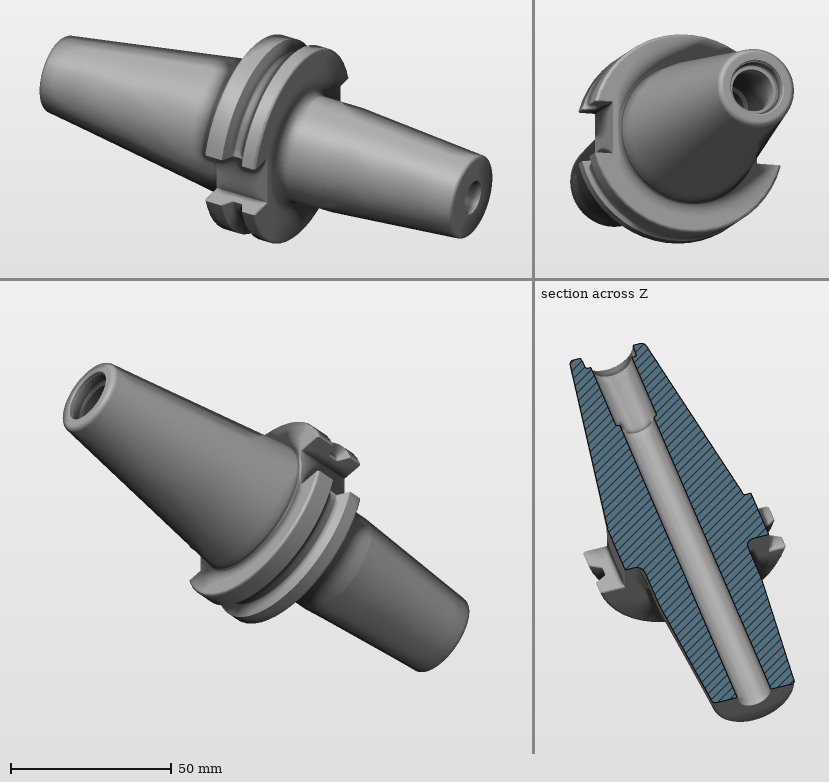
import cadquery as cq
import math

length = 148.2
gauge_x = 67.9
flange_start = 69.4
flange_end = 87.5

gauge_radius = 44.5 / 2
taper_slope = 7 / 48
tail_radius = gauge_radius - taper_slope * gauge_x
tail_round = 1.8
root_flare = 0.5

flange_radius = 63.3 / 2
flange_edge = 0.9
groove_radius = 28.0
groove_round = 0.5
groove_floor_start = 77.7
groove_floor_end = 80.6
groove_wall_run = (flange_radius - groove_radius) * math.tan(math.radians(30))

slot_width = 16.3
slot_edge = 0.3
slot_floor_plus_y = 24.8
slot_floor_minus_y = 22.5

neck_radius = 34.0 / 2
neck_round = 2.8
nose_taper_start = 103.6
nose_radius = 13.5
nose_edge = 1.2

bore_radius = 11.0 / 2
thread_radius = 13.3 / 2
thread_depth = 29.6
seat_radius = 15.9 / 2
counterbore_radius = 16.8 / 2
counterbore_depth = 4.6
entry_radius = 17.0 / 2
entry_depth = 1.2
entry_chamfer = 0.3
drill_point_length = (thread_radius - bore_radius) / math.tan(math.radians(59))


def revolve_about_x(profile):
    """Turn a closed profile drawn in (x, radius) about the X axis."""
    return profile.close().revolve(360, (0, 0, 0), (1, 0, 0))


def make_taper():
    taper = revolve_about_x(
        cq.Workplane("XY")
        .lineTo(0, tail_radius)
        .lineTo(gauge_x, gauge_radius)
        .lineTo(flange_start - root_flare, gauge_radius)
        .lineTo(flange_start, gauge_radius + root_flare)
        .lineTo(flange_start, 0)
    )
    return taper.faces("<X").edges().fillet(tail_round)


def make_flange():
    flange = revolve_about_x(
        cq.Workplane("XY")
        .moveTo(flange_start, 0)
        .lineTo(flange_start, flange_radius - flange_edge)
        .radiusArc((flange_start + flange_edge, flange_radius), flange_edge)
        .lineTo(groove_floor_start - groove_wall_run, flange_radius)
        .lineTo(groove_floor_start, groove_radius)
        .lineTo(groove_floor_end, groove_radius)
        .lineTo(groove_floor_end + groove_wall_run, flange_radius)
        .lineTo(flange_end - flange_edge, flange_radius)
        .radiusArc((flange_end, flange_radius - flange_edge), flange_edge)
        .lineTo(flange_end, 0)
    )
    groove_corners = cq.selectors.BoxSelector(
        (groove_floor_start - groove_round, -groove_radius, -groove_radius),
        (groove_floor_end + groove_round, groove_radius, groove_radius),
    )
    flange = flange.edges(groove_corners).edges("%CIRCLE").fillet(groove_round)
    for side, floor in ((1, slot_floor_plus_y), (-1, slot_floor_minus_y)):
        flange = cut_slot(flange, side, floor)
    return flange


def cut_slot(flange, side, floor):
    """Cut one drive slot and break the outer edges of both of its walls."""
    flange_middle = (flange_start + flange_end) / 2
    slot = cq.Workplane("XY").box(length, flange_radius, slot_width)
    flange = flange.cut(slot.translate((flange_middle, side * (floor + flange_radius / 2), 0)))
    for wall_z in (slot_width / 2, -slot_width / 2):
        wall_edges = cq.selectors.BoxSelector(
            (flange_start - slot_edge, side * (floor + slot_edge), wall_z - slot_edge),
            (flange_end + slot_edge, side * flange_radius, wall_z + slot_edge),
        )
        flange = flange.edges(wall_edges).chamfer(slot_edge)
    return flange


def make_nose():
    return revolve_about_x(
        cq.Workplane("XY")
        .moveTo(flange_end, 0)
        .lineTo(flange_end, neck_radius + neck_round)
        .radiusArc((flange_end + neck_round, neck_radius), -neck_round)
        .lineTo(nose_taper_start, neck_radius)
        .lineTo(length, nose_radius)
        .lineTo(length, 0)
    ).faces(">X").edges().fillet(nose_edge)


def make_bore():
    seat_chamfer = counterbore_radius - seat_radius
    return revolve_about_x(
        cq.Workplane("XY")
        .lineTo(0, entry_radius + entry_chamfer)
        .lineTo(entry_chamfer, entry_radius)
        .lineTo(entry_depth, entry_radius)
        .lineTo(entry_depth, counterbore_radius)
        .lineTo(counterbore_depth - seat_chamfer, counterbore_radius)
        .lineTo(counterbore_depth, seat_radius)
        .lineTo(counterbore_depth, thread_radius)
        .lineTo(thread_depth, thread_radius)
        .lineTo(thread_depth + drill_point_length, bore_radius)
        .lineTo(length, bore_radius)
        .lineTo(length, 0)
    )


result = make_taper().union(make_flange()).union(make_nose()).cut(make_bore())